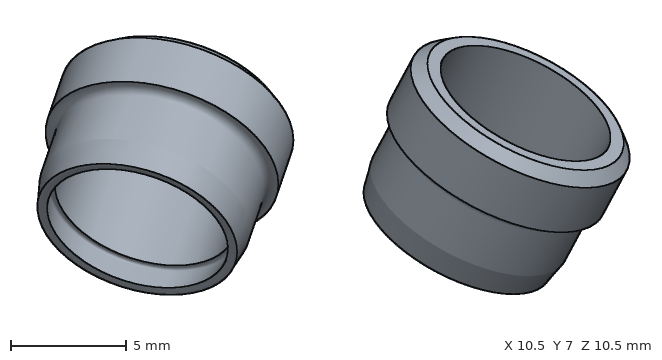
import cadquery as cq
import math

collar_radius = 5.25
length = 7.0
collar_length = 3.0
collar_chamfer = 0.55
neck_radius = 4.75
neck_fillet = 0.4
nose_length = 1.2
nose_radius = 4.5

bore_radius = 4.07
mouth_radius = bore_radius
mouth_bevel_radius = 4.36
mouth_bevel_depth = 0.05
recess_depth = 1.3
recess_angle = math.radians(12)
recess_fillet = 0.13

nose_y = -length / 2
collar_end_y = length / 2
shoulder_y = collar_end_y - collar_length
mouth_y = nose_y + mouth_bevel_depth
recess_floor_y = nose_y + recess_depth


def arc_point(center, radius, angle):
    """Point on a circle in the section, at an angle from the radial direction."""
    return (center[0] + radius * math.cos(angle), center[1] + radius * math.sin(angle))


neck_fillet_center = (neck_radius + neck_fillet, shoulder_y - neck_fillet)

corner_center_y = recess_floor_y - recess_fillet
wall_end_y = corner_center_y - recess_fillet * math.sin(recess_angle)
wall_end_radius = mouth_radius + (wall_end_y - mouth_y) * math.tan(recess_angle)
corner_center = (wall_end_radius - recess_fillet * math.cos(recess_angle), corner_center_y)
corner_middle_angle = (math.pi / 2 - recess_angle) / 2

profile = (
    cq.Workplane("XY")
    .moveTo(mouth_bevel_radius, nose_y)
    .lineTo(nose_radius, nose_y)
    .lineTo(neck_radius, nose_y + nose_length)
    .lineTo(neck_radius, shoulder_y - neck_fillet)
    .threePointArc(
        arc_point(neck_fillet_center, neck_fillet, math.radians(135)),
        (neck_radius + neck_fillet, shoulder_y),
    )
    .lineTo(collar_radius, shoulder_y)
    .lineTo(collar_radius, collar_end_y - collar_chamfer)
    .lineTo(collar_radius - collar_chamfer, collar_end_y)
    .lineTo(bore_radius, collar_end_y)
    .lineTo(bore_radius, recess_floor_y)
    .lineTo(corner_center[0], recess_floor_y)
    .threePointArc(
        arc_point(corner_center, recess_fillet, corner_middle_angle),
        (wall_end_radius, wall_end_y),
    )
    .lineTo(mouth_radius, mouth_y)
    .close()
)

result = profile.revolve(360, (0, 0, 0), (0, 1, 0))